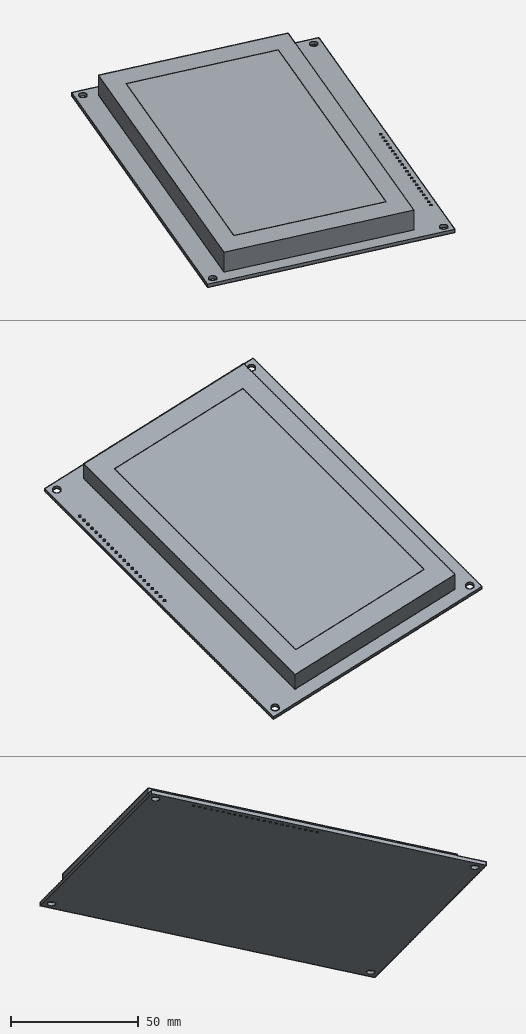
import cadquery as cq

board_length = 144.0
board_width = 104.0
board_thickness = 1.6

mount_hole_diameter = 3.3
mount_hole_inset_x = 3.3
mount_hole_inset_y = 3.5

header_hole_count = 22
header_pitch = 2.53
header_hole_diameter = 1.0
header_edge_distance = 2.5
header_first_x = -0.5

total_height = 11.0
display_length = 133.0
display_width = 79.8
display_height = total_height - board_thickness
display_center_y = -3.0

window_length = 114.0
window_width = 64.0
window_depth = 0.07


def make_board():
    """Flat board with corner mounting holes and a row of header holes."""
    board = (
        cq.Workplane("XY")
        .rect(board_length, board_width)
        .extrude(board_thickness)
    )
    mount_spacing_x = board_length - 2 * mount_hole_inset_x
    mount_spacing_y = board_width - 2 * mount_hole_inset_y
    mount_holes = (
        cq.Workplane("XY")
        .rarray(mount_spacing_x, mount_spacing_y, 2, 2)
        .circle(mount_hole_diameter / 2)
        .extrude(board_thickness)
    )
    header_y = board_width / 2 - header_edge_distance
    header_points = [(header_first_x + i * header_pitch, header_y) for i in range(header_hole_count)]
    header_holes = (
        cq.Workplane("XY")
        .pushPoints(header_points)
        .circle(header_hole_diameter / 2)
        .extrude(board_thickness)
    )
    return board.cut(mount_holes).cut(header_holes)


def make_display():
    """Display block resting on the board, with a shallow window in its top."""
    block = (
        cq.Workplane("XY", origin=(0, display_center_y, board_thickness))
        .rect(display_length, display_width)
        .extrude(display_height)
    )
    window = (
        cq.Workplane("XY", origin=(0, display_center_y, total_height - window_depth))
        .rect(window_length, window_width)
        .extrude(window_depth)
    )
    return block.cut(window)


board = make_board()
display = make_display()

result = cq.Compound.makeCompound([board.solids().val(), display.solids().val()])